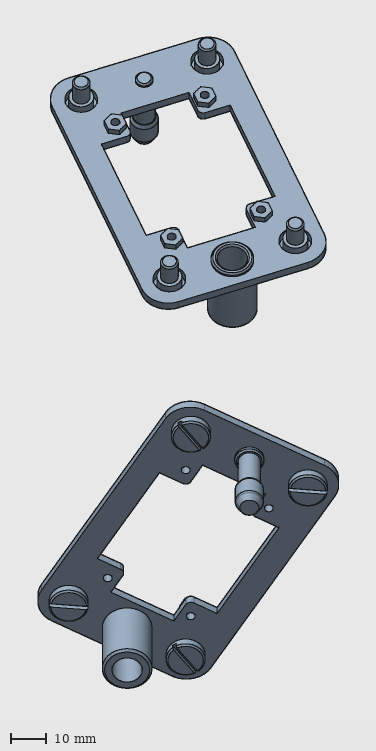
import cadquery as cq
import math

plate_length = 86
plate_width = 55
plate_thickness = 2.8
plate_corner_radius = 8.0

window_length = 51.8
window_width = 38.9
window_waist_length = 35.0
window_waist_width = 20.5
tab_corner_radius = 1.6

nut_x = 22.0
nut_y = 13.5
nut_across_flats = 5.5
nut_height = 2.0
nut_hole_diameter = 2.5

screw_x = 34.5
screw_y = 19.0
screw_hole_diameter = 9.2
screw_top = 8.1
screw_diameter = 5.0
screw_tip_chamfer = 0.5
screw_collar_diameter = 7.05
screw_collar_top = 1.1
screw_head_diameter = 11.0
screw_head_height = 2.75
screw_head_chamfer = 0.5
slot_width = 1.1
slot_depth = 1.55
slot_angle = 65.4

pin_end_diameter = 5.0
pin_end_top = 1.1
pin_end_chamfer = 0.5
pin_flange_diameter = 8.25
pin_flange_height = 1.4
pin_flange_chamfer = 0.5
pin_shank_diameter = 6.3
pin_head_diameter = 8.0
pin_shoulder_diameter = 6.7
pin_tip_diameter = 5.3
pin_bottom = -25.7
pin_tip_height = 2.15
pin_rounding_height = 0.6
pin_rounding_width = 0.3
pin_shoulder_height = 1.2
pin_head_height = 9.6

bushing_diameter = 14.0
bushing_bottom = -22.5
bushing_bottom_chamfer = 0.7
bushing_spigot_diameter = 12
bushing_spigot_top = 1.1
bushing_rim_chamfer = 0.5
bushing_bore_diameter = 8.5

plate_bottom = -plate_thickness
quadrant_signs = [(sx, sy) for sx in (-1, 1) for sy in (-1, 1)]


def cylinder(diameter, bottom, top):
    return cq.Workplane("XY").workplane(offset=bottom).circle(diameter / 2).extrude(top - bottom)


def place_in_quadrant(lower_left_shape, sx, sy):
    """Mirror a shape built in the -X -Y quadrant into the quadrant with signs sx, sy."""
    placed = lower_left_shape
    if sx > 0:
        placed = placed.mirror("YZ")
    if sy > 0:
        placed = placed.mirror("XZ")
    return placed


def make_plate():
    plate = cq.Workplane("XY").workplane(offset=plate_bottom).rect(plate_length, plate_width)
    plate = plate.extrude(plate_thickness).edges("|Z").fillet(plate_corner_radius)
    window = cq.Workplane("XY").workplane(offset=plate_bottom)
    window = window.rect(window_length, window_width).extrude(plate_thickness)

    tab_length = (window_length - window_waist_length) / 2
    tab_width = (window_width - window_waist_width) / 2
    tab = cq.Workplane("XY", origin=(-window_length / 2, -window_width / 2, plate_bottom))
    tab = tab.rect(tab_length, tab_width, centered=False).extrude(plate_thickness)
    tab = tab.edges("|Z").edges(">X").edges(">Y").fillet(tab_corner_radius)
    for sx, sy in quadrant_signs:
        window = window.cut(place_in_quadrant(tab, sx, sy))
    return plate.cut(window)


def make_screw():
    """Lower-left screw: threaded end up, slotted head under the plate."""
    head_bottom = plate_bottom - screw_head_height
    head = cylinder(screw_head_diameter, head_bottom, plate_bottom)
    head = head.faces("<Z").chamfer(screw_head_chamfer)
    slot = cq.Workplane("XY").workplane(offset=head_bottom)
    slot = slot.transformed(rotate=(0, 0, slot_angle))
    slot = slot.rect(2 * screw_head_diameter, slot_width).extrude(slot_depth)
    collar = cylinder(screw_collar_diameter, plate_bottom, screw_collar_top)
    thread = cylinder(screw_diameter, screw_collar_top, screw_top)
    thread = thread.faces(">Z").chamfer(screw_tip_chamfer)
    screw = head.cut(slot).union(collar).union(thread)
    return screw.translate((-screw_x, -screw_y, 0))


def make_nut():
    across_corners = nut_across_flats / math.cos(math.pi / 6)
    return cq.Workplane("XY").polygon(6, across_corners).extrude(nut_height)


def make_pin():
    r_end = pin_end_diameter / 2
    r_flange = pin_flange_diameter / 2
    r_shank = pin_shank_diameter / 2
    r_head = pin_head_diameter / 2
    flange_bottom = plate_bottom - pin_flange_height
    head_top = pin_bottom + pin_head_height
    tip_top = pin_bottom + pin_tip_height
    profile = (
        cq.Workplane("XZ")
        .moveTo(0, pin_end_top)
        .lineTo(r_end - pin_end_chamfer, pin_end_top)
        .lineTo(r_end, pin_end_top - pin_end_chamfer)
        .lineTo(r_end, plate_bottom)
        .lineTo(r_flange, plate_bottom)
        .lineTo(r_flange, flange_bottom + pin_flange_chamfer)
        .lineTo(r_flange - pin_flange_chamfer, flange_bottom)
        .lineTo(r_shank, flange_bottom)
        .lineTo(r_shank, head_top)
        .lineTo(pin_shoulder_diameter / 2, head_top)
        .lineTo(r_head, head_top - pin_shoulder_height)
        .lineTo(r_head, tip_top + pin_rounding_height)
        .lineTo(r_head - pin_rounding_width, tip_top)
        .lineTo(pin_tip_diameter / 2, pin_bottom)
        .lineTo(0, pin_bottom)
        .close()
    )
    return profile.revolve(360, (0, 0, 0), (0, 1, 0)).translate((-screw_x, 0, 0))


def make_bushing():
    sleeve = cylinder(bushing_diameter, bushing_bottom, plate_bottom)
    sleeve = sleeve.faces("<Z").chamfer(bushing_bottom_chamfer)
    spigot = cylinder(bushing_spigot_diameter, plate_bottom, bushing_spigot_top)
    bore = cylinder(bushing_bore_diameter, bushing_bottom, bushing_spigot_top)
    bushing = sleeve.union(spigot).cut(bore)
    return bushing.faces(">Z").chamfer(bushing_rim_chamfer).translate((screw_x, 0, 0))


result = make_plate()

screw = make_screw()
for sx, sy in quadrant_signs:
    screw_center = (sx * screw_x, sy * screw_y, 0)
    result = result.cut(cylinder(screw_hole_diameter, plate_bottom, 0).translate(screw_center))
    result = result.union(place_in_quadrant(screw, sx, sy))

for sx, sy in quadrant_signs:
    nut_center = (sx * nut_x, sy * nut_y, 0)
    result = result.union(make_nut().translate(nut_center))
    result = result.cut(cylinder(nut_hole_diameter, plate_bottom, nut_height).translate(nut_center))

bushing_hole = cylinder(bushing_spigot_diameter, plate_bottom, 0).translate((screw_x, 0, 0))
result = result.cut(bushing_hole).union(make_bushing()).union(make_pin())